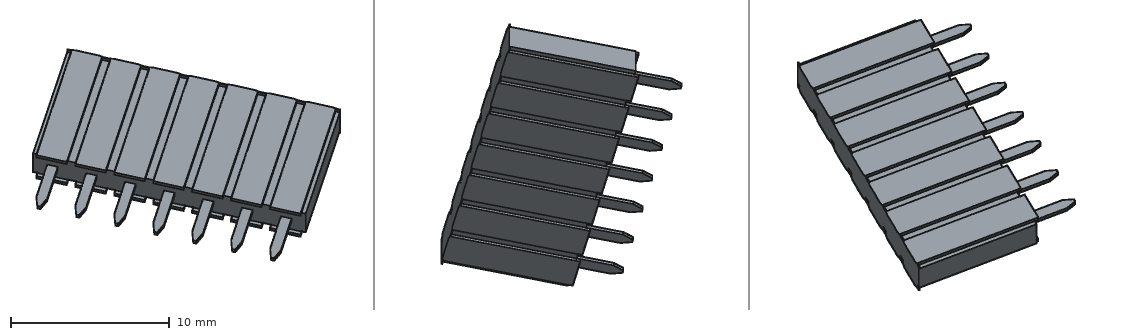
import cadquery as cq

overall_width = 17.78
overall_length = 11.5
overall_height = 2.5
contact_count = 7
pitch = overall_width / contact_count

rib_width = 2.0
rib_length = 8.5
rib_thickness = 0.25
rib_overhang = 0.25

flange_thickness = 0.05
pad_height = 0.05
pad_base_width = 2.13
pad_top_width = 1.56

pin_width = 0.7
pin_thickness = 0.28
pin_tip_width = 0.2
pin_taper_length = 0.7

core_height = overall_height - 2 * rib_thickness
rear_y = rib_length - rib_overhang
flange_rear_y = rear_y - pad_height
flange_front_y = flange_rear_y - flange_thickness
pin_length = overall_length - rear_y
contact_centres = [(i - (contact_count - 1) / 2) * pitch for i in range(contact_count)]


def extrude_about_mid_height(points, height):
    """Extrude a closed XY outline by height, centred on Z = 0."""
    return cq.Workplane("XY").polyline(points).close().extrude(height / 2, both=True)


def box_between(width, front_y, back_y, height):
    """Block centred on X = 0 and Z = 0 that runs from front_y to back_y."""
    return cq.Workplane("XY").box(width, back_y - front_y, height).translate((0, (front_y + back_y) / 2, 0))


def make_rib(centre_x, side):
    """Flat rib above (side = 1) or below (side = -1) the core, overhanging its front face."""
    centre_z = side * (core_height + rib_thickness) / 2
    rib = box_between(rib_width, -rib_overhang, flange_rear_y, rib_thickness)
    return rib.translate((centre_x, 0, centre_z))


def make_pad(centre_x):
    """Full-height pad with sloped sides on the rear of the flange."""
    points = [
        (-pad_base_width / 2, flange_rear_y),
        (pad_base_width / 2, flange_rear_y),
        (pad_top_width / 2, rear_y),
        (-pad_top_width / 2, rear_y),
    ]
    return extrude_about_mid_height(points, overall_height).translate((centre_x, 0, 0))


def make_housing():
    """Core with a thin rear flange, and ribs and a rear pad at every contact."""
    core = box_between(overall_width, 0, flange_rear_y, core_height)
    flange = box_between(overall_width, flange_front_y, flange_rear_y, overall_height)
    body = core.union(flange)
    for centre_x in contact_centres:
        body = body.union(make_rib(centre_x, 1))
        body = body.union(make_rib(centre_x, -1))
        body = body.union(make_pad(centre_x))
    return body.clean()


def make_pin(centre_x):
    """Flat pin that starts on the front face of the core and narrows to a blunt tip."""
    taper_start_y = pin_taper_length - pin_length
    points = [
        (-pin_width / 2, 0),
        (-pin_width / 2, taper_start_y),
        (-pin_tip_width / 2, -pin_length),
        (pin_tip_width / 2, -pin_length),
        (pin_width / 2, taper_start_y),
        (pin_width / 2, 0),
    ]
    return extrude_about_mid_height(points, pin_thickness).translate((centre_x, 0, 0))


housing = make_housing()
pins = [make_pin(centre_x) for centre_x in contact_centres]

result = cq.Compound.makeCompound([housing.val(), *[pin.val() for pin in pins]])